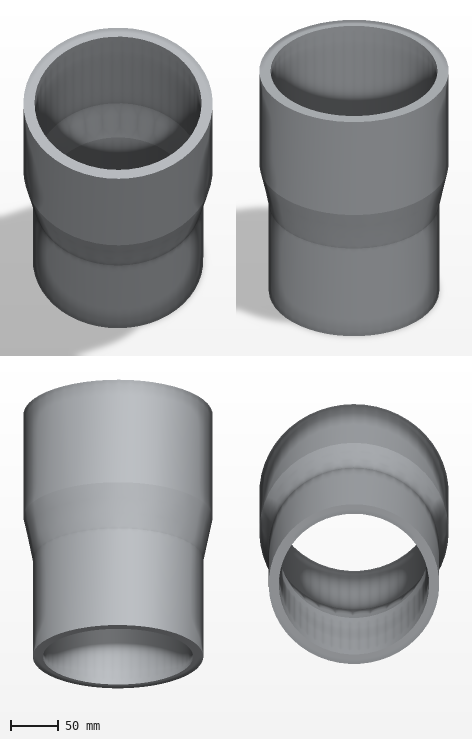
import cadquery as cq

total_length = 275.0
lower_length = 110.0
taper_length = 48.5
taper_top = lower_length + taper_length

upper_outer_diameter = 200.0
upper_inner_diameter = 176.3
lower_outer_diameter = 180.0
lower_inner_diameter = 158.7


def stepped_body(lower_diameter, upper_diameter):
    """Solid of revolution: lower cylinder, conical transition, upper cylinder."""
    lower_radius = lower_diameter / 2
    upper_radius = upper_diameter / 2
    return (
        cq.Workplane("XZ")
        .moveTo(0, 0)
        .lineTo(lower_radius, 0)
        .lineTo(lower_radius, lower_length)
        .lineTo(upper_radius, taper_top)
        .lineTo(upper_radius, total_length)
        .lineTo(0, total_length)
        .close()
        .revolve(360, (0, 0, 0), (0, 1, 0))
    )


outside = stepped_body(lower_outer_diameter, upper_outer_diameter)
bore = stepped_body(lower_inner_diameter, upper_inner_diameter)
result = outside.cut(bore)